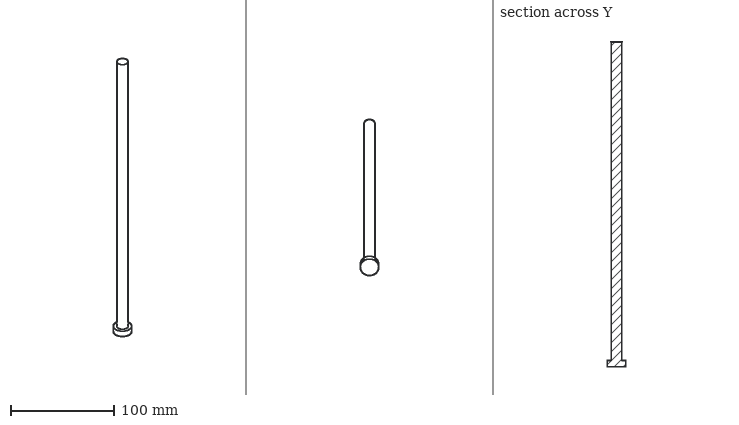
import cadquery as cq

total_length = 315.0
head_diameter = 18.0
head_height = 6.3
shaft_diameter = 11.0

head = cq.Workplane("XY").circle(head_diameter / 2).extrude(head_height)
shaft = cq.Workplane("XY").circle(shaft_diameter / 2).extrude(total_length)

result = head.union(shaft)